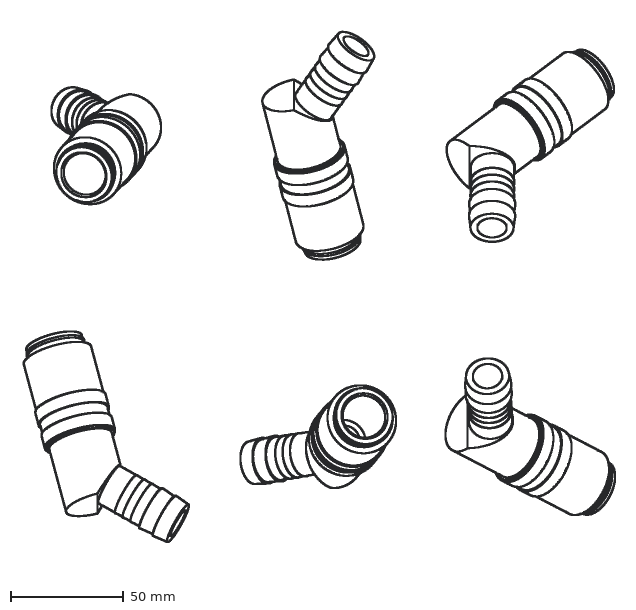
import cadquery as cq
import math

flange_diameter = 32.5
barrel_radius = 15.6
neck_radius = 14.5
spigot_radius = 12.8

spigot_end = 6.3
lower_flange_start = 29.7
flange_width = 6.0
flange_pitch = 11.1
flange_count = 2
barrel_end = 47.7
body_length = 78.0

seal_y = 2.5
seal_section_radius = 0.6
seal_centre_radius = 12.7

mouth_radius = 10.5
mouth_depth = 1.2
bore_radius = 9.6
bore_depth = barrel_end
inner_bore_radius = 7.1
inner_bore_depth = 71.3

tail_angle = 45.0
axes_meet_y = 63.3
tail_tip = 46.0
tail_radius = 9.6
tail_bore_radius = 6.6
barb_height = 0.7
barb_length = 7.0
barb_count = 2
ridge_height = 0.2
ridge_length = 1.8
ridge_pitch = 4.0
ridge_count = 3
first_ridge_start = 17.0
tail_root = neck_radius / 2 / math.cos(math.radians(tail_angle))


def cylinder_along_y(radius, start, end):
    """Solid cylinder on the body axis between two Y positions."""
    return cq.Workplane("XZ", origin=(0, start, 0)).circle(radius).extrude(start - end)


def revolve_about_y(profile):
    return profile.close().revolve(360, (0, 0, 0), (0, 1, 0))


def make_body():
    body = cylinder_along_y(spigot_radius, 0, spigot_end)
    body = body.union(cylinder_along_y(barrel_radius, spigot_end, barrel_end))
    body = body.union(cylinder_along_y(neck_radius, barrel_end, body_length))
    for index in range(flange_count):
        start = lower_flange_start + index * flange_pitch
        body = body.union(cylinder_along_y(flange_diameter / 2, start, start + flange_width))
    seal = (
        cq.Workplane("XY")
        .center(seal_centre_radius, seal_y)
        .circle(seal_section_radius)
        .revolve(360, (-seal_centre_radius, 0, 0), (-seal_centre_radius, 1, 0))
    )
    return body.union(seal)


def cut_sloped_face(body):
    """Remove the -X corner of the neck above the 45 degree face."""
    reach = 2 * neck_radius
    corner = (
        cq.Workplane("XY")
        .moveTo(0, body_length)
        .lineTo(-reach, body_length - reach * math.tan(math.radians(tail_angle)))
        .lineTo(-reach, body_length)
        .close()
        .extrude(reach, both=True)
    )
    return body.cut(corner)


def make_body_bore():
    return revolve_about_y(
        cq.Workplane("XY")
        .lineTo(mouth_radius, 0)
        .lineTo(bore_radius, mouth_depth)
        .lineTo(bore_radius, bore_depth)
        .lineTo(inner_bore_radius, bore_depth)
        .lineTo(inner_bore_radius, inner_bore_depth)
        .lineTo(0, inner_bore_depth)
    )


def place_on_tail_axis(shape):
    """Move a shape built along Y from the origin so it starts where the two axes meet."""
    return shape.rotate((0, 0, 0), (0, 0, 1), tail_angle).translate((0, axes_meet_y, 0))


def make_tail():
    """Tail with barbs that widen from the hose end toward the body, each ending in a step."""
    tail = cq.Workplane("XY").moveTo(0, tail_tip).lineTo(tail_radius, tail_tip)
    for index in range(barb_count):
        barb_end = tail_tip - (index + 1) * barb_length
        tail = tail.lineTo(tail_radius + barb_height, barb_end).lineTo(tail_radius, barb_end)
    for index in range(ridge_count):
        ridge_start = tail_tip - first_ridge_start - index * ridge_pitch
        ridge_end = ridge_start - ridge_length
        tail = tail.lineTo(tail_radius, ridge_start)
        tail = tail.lineTo(tail_radius + ridge_height, ridge_end).lineTo(tail_radius, ridge_end)
    tail = tail.lineTo(tail_radius, tail_root).lineTo(0, tail_root)
    return place_on_tail_axis(revolve_about_y(tail))


def make_tail_bore():
    return place_on_tail_axis(cylinder_along_y(tail_bore_radius, 0, tail_tip))


result = cut_sloped_face(make_body()).union(make_tail())
result = result.cut(make_body_bore()).cut(make_tail_bore())